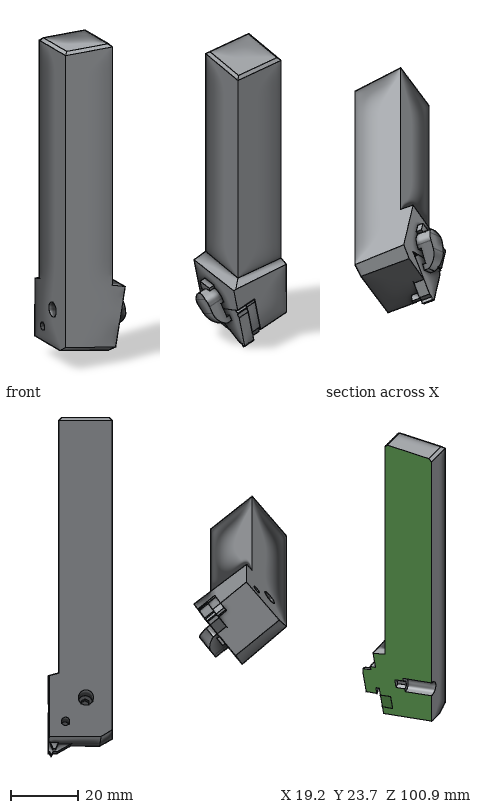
import cadquery as cq
import math

total_length = 100.9
overall_width = 19.2

shank_side = 16.0
shank_chamfer = 0.9
shoulder_height = 24.9
shoulder_slope = 15.0

rake_tilt = 10.0
lead_tilt = 1.5
tip_drop = 3.2
rake_corner_y = 16.2
head_bottom_width = 15.3
corner_slope = 30.0
reach = 60.5

triangle_side = 16.5
insert_thickness = 3.5
corner_flat = 2.6
tooth_height = 0.9
tooth_offset = 0.9
tooth_half_angle = 30.0

shim_thickness = 3.0
shim_inset = 0.2
shim_corner_cut = 1.2
shim_nose_start = 0.9
shim_nose_drop = 1.8
shim_nose_left = 1.3
shim_nose_right = 2.1
shim_nose_root = 2.9

screw_u = 10.8
screw_v = 11.4
heel_radius = 3.6
toe_u = 6.0
toe_v = 4.5
toe_width = 3.6
clamp_height = 4.8
crown_radius = 7.6
heel_edge_drop = 0.5
toe_round_length = 5.5
toe_round_middle_run = 1.5
toe_round_middle_height = 3.4
toe_end_height = 1.5
toe_pad_length = 1.8
bridge_gap = 1.0
bridge_start = 2.0
nub_width = 4.4
nub_left = 10.6
nub_bottom = 13.1
nub_top = 16.1
nub_height = 1.8

clamp_hole_diameter = 4.4
clamp_hole_floor = 9.3
socket_flats = 2.2
socket_depth = 3.0
shim_hole_diameter = 2.4
shim_hole_floor = 9.6

rake_corner_z = tip_drop * math.cos(math.radians(rake_tilt))
tan30 = math.tan(math.radians(30.0))
flat_rise = corner_flat * tan30
tip_rise = flat_rise - tooth_height
triangle_low = -tip_drop - tip_rise
triangle_high = triangle_low + triangle_side
centroid_u = triangle_side * tan30 / 2
centroid_v = triangle_low + triangle_side / 2
right_corner_u = 3 * centroid_u
pocket_depth = insert_thickness + shim_thickness


def rake_plane(depth=0.0):
    """Plane parallel to the rake face, sunk by depth; its normal points into the head."""
    origin = (-overall_width, rake_corner_y, rake_corner_z)
    plane = cq.Plane.XZ(origin).rotated((-rake_tilt, lead_tilt, 0))
    plane.origin = plane.toWorldCoords((0, 0, depth))
    return plane


def on_rake(depth=0.0):
    return cq.Workplane(rake_plane(depth))


def make_shank():
    shank = cq.Workplane("XY").box(
        shank_side, shank_side, total_length - shoulder_height, centered=False
    )
    shank = shank.faces(">Z").chamfer(shank_chamfer)
    return shank.translate((-shank_side, 0, shoulder_height))


def make_head():
    corner_rise = (reach - head_bottom_width) * math.tan(math.radians(corner_slope))
    tilted_block = (
        on_rake()
        .polyline([
            (0, 0),
            (head_bottom_width, 0),
            (reach, corner_rise),
            (reach, reach),
            (0, reach),
        ])
        .close()
        .extrude(reach)
    )
    slope = math.tan(math.radians(shoulder_slope))
    roof_half_width = shank_side + shoulder_height / slope
    bounds = (
        cq.Workplane("XY")
        .rect(2 * roof_half_width, 2 * roof_half_width)
        .workplane(offset=shoulder_height)
        .rect(2 * shank_side, 2 * shank_side)
        .loft(ruled=True)
    )
    quadrant = cq.Workplane("XY").box(roof_half_width, roof_half_width, reach, centered=False)
    quadrant = quadrant.translate((-roof_half_width, 0, 0))
    return tilted_block.intersect(bounds.intersect(quadrant))


def make_pocket():
    return (
        on_rake()
        .polyline([
            (0, triangle_low),
            (right_corner_u, centroid_v),
            (0, triangle_high),
        ])
        .close()
        .extrude(pocket_depth)
    )


def make_shim():
    cut_u = shim_corner_cut * math.cos(math.radians(30.0)) / 2
    edge_at_bottom = -triangle_low / tan30
    return (
        on_rake(insert_thickness)
        .polyline([
            (shim_inset, shim_nose_start),
            (shim_nose_left, -shim_nose_drop),
            (shim_nose_right, -shim_nose_drop),
            (shim_nose_root, 0),
            (edge_at_bottom, 0),
            (right_corner_u, centroid_v),
            (cut_u, triangle_high - cut_u * tan30),
            (shim_inset, triangle_high - shim_corner_cut),
        ])
        .close()
        .extrude(shim_thickness)
    )


def make_clamp():
    run_u = toe_u - screw_u
    run_v = toe_v - screw_v
    length = math.hypot(run_u, run_v)
    heading = math.degrees(math.atan2(run_v, run_u))
    frame = rake_plane().rotated((0, 0, heading))
    frame.origin = rake_plane().toWorldCoords((screw_u, screw_v, 0))

    half_toe = toe_width / 2
    corner_distance = math.hypot(length, half_toe)
    tangent_angle = math.atan2(half_toe, length) + math.acos(heel_radius / corner_distance)
    tangent_x = heel_radius * math.cos(tangent_angle)
    tangent_y = heel_radius * math.sin(tangent_angle)
    plan = (
        cq.Workplane(frame)
        .moveTo(tangent_x, tangent_y)
        .lineTo(length, half_toe)
        .lineTo(length, -half_toe)
        .lineTo(tangent_x, -tangent_y)
        .threePointArc((-heel_radius, 0), (tangent_x, tangent_y))
        .close()
        .extrude(-clamp_height)
    )

    bridge_end = length - toe_pad_length
    side_plane = cq.Plane(frame.origin, xDir=frame.xDir, normal=frame.yDir)
    profile = (
        cq.Workplane(side_plane)
        .moveTo(-heel_radius, 0)
        .lineTo(-heel_radius, clamp_height - heel_edge_drop)
        .lineTo(-heel_radius / 2, clamp_height)
        .lineTo(length - toe_round_length, clamp_height)
        .threePointArc(
            (length - toe_round_middle_run, toe_round_middle_height),
            (length, toe_end_height),
        )
        .lineTo(length, 0)
        .lineTo(bridge_end, 0)
        .lineTo(bridge_end, bridge_gap)
        .lineTo(bridge_start, bridge_gap)
        .lineTo(bridge_start, 0)
        .close()
        .extrude(heel_radius, both=True)
    )

    crown_plane = cq.Plane(frame.origin, xDir=frame.yDir, normal=frame.xDir)
    crown = (
        cq.Workplane(crown_plane)
        .center(0, clamp_height - crown_radius)
        .circle(crown_radius)
        .extrude(length + heel_radius, both=True)
    )
    nub = (
        on_rake()
        .moveTo(nub_left + nub_width / 2, (nub_bottom + nub_top) / 2)
        .rect(nub_width, nub_top - nub_bottom)
        .extrude(-nub_height)
    )
    return plan.intersect(profile).intersect(crown).union(nub)


def make_screw_holes():
    clamp_hole = (
        on_rake(clamp_hole_floor)
        .center(screw_u, screw_v)
        .circle(clamp_hole_diameter / 2)
        .extrude(reach)
    )
    socket = (
        on_rake(clamp_hole_floor - socket_depth)
        .center(screw_u, screw_v)
        .polygon(6, socket_flats, circumscribed=True)
        .extrude(socket_depth)
    )
    shim_hole = (
        on_rake(shim_hole_floor)
        .center(centroid_u, centroid_v)
        .circle(shim_hole_diameter / 2)
        .extrude(reach)
    )
    return clamp_hole.union(socket).union(shim_hole)


def make_holder():
    holder = make_shank().union(make_head())
    holder = holder.cut(make_pocket()).union(make_shim()).union(make_clamp())
    return holder.cut(make_screw_holes()).solids()


def make_insert():
    tooth_half_width = tooth_height * math.tan(math.radians(tooth_half_angle))
    flat_v = triangle_low + flat_rise
    corner = [
        (0, flat_v),
        (tooth_offset - tooth_half_width, flat_v),
        (tooth_offset, flat_v - tooth_height),
        (tooth_offset + tooth_half_width, flat_v),
        (corner_flat, flat_v),
    ]
    outline = []
    for index in range(3):
        turn = math.radians(120.0 * index)
        for u, v in corner:
            du = u - centroid_u
            dv = v - centroid_v
            outline.append((
                centroid_u + du * math.cos(turn) - dv * math.sin(turn),
                centroid_v + du * math.sin(turn) + dv * math.cos(turn),
            ))
    return on_rake().polyline(outline).close().extrude(insert_thickness)


holder = make_holder()
insert = make_insert()
result = cq.Compound.makeCompound([holder.val(), insert.val()])